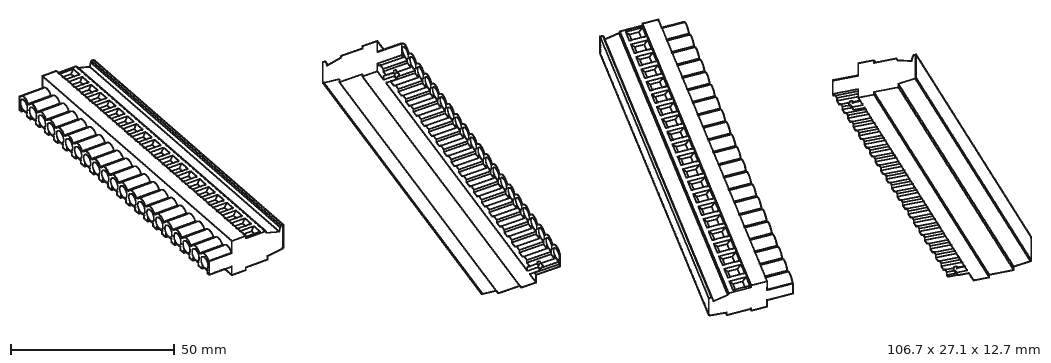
import cadquery as cq

length = 106.7
depth = 27.1
height = 12.7
pole_count = 21

plate_overhang = 0.05
plate_thickness = 0.3
left_end = -length / 2
right_end = length / 2 - plate_overhang
housing_length = right_end - left_end
pitch = housing_length / pole_count
pole_positions = [left_end + (i + 0.5) * pitch for i in range(pole_count)]

collar_front = 8.3
collar_back = 13.4
collar_step = 1.0
body_bottom = collar_step
body_top = height - collar_step
bottom_step_y = 21.3
bottom_step_z = 2.2
back_bottom_z = 3.0
plate_bottom_z = 3.2
lip_top_y = 26.2
lip_chamfer_y = 25.9
lip_chamfer_z = 11.2
channel_y = 25.6
channel_z = 9.7
slope_end_y = 21.0
slope_end_z = 11.0
slope_step_y = 20.7

nose_bottom = 3.2
nose_shoulder = 8.2
socket_z = 6.3
barrel_top_z = 9.5
barrel_gap = 0.5
socket_mouth_diameter = 4.0
socket_floor_diameter = 1.6
socket_depth = 3.2

groove_width = 2.9
groove_height = 1.1

pocket_depth = 1.3
pocket_width = 3.5
pocket_floor_width = 2.8
pocket_front = 13.7
pocket_back = 19.1
pocket_floor_front = 14.9
pocket_floor_back = 18.0

hook_width = 1.6
hook_thickness = 1.6
hook_root_overlap = 1.1
hook_heel_y = 4.7
hook_heel_z = 0.4
hook_tip_y = 3.7
hook_tip_z = 1.5
hook_top_y = 4.2
hook_top_z = 2.3
hook_barb_y = 4.9


def extrude_along_x(points, start_x, width):
    """Prism with a (Y, Z) outline, running in +X from start_x."""
    plane = cq.Workplane("YZ", origin=(start_x, 0, 0))
    return plane.polyline(points).close().extrude(width)


def make_housing():
    plate_front = depth - plate_thickness
    outline = [
        (collar_front, 0),
        (collar_back, 0),
        (collar_back, body_bottom),
        (bottom_step_y, body_bottom),
        (bottom_step_y, bottom_step_z),
        (plate_front, back_bottom_z),
        (plate_front, body_top),
        (lip_top_y, body_top),
        (lip_chamfer_y, lip_chamfer_z),
        (channel_y, channel_z),
        (slope_end_y, slope_end_z),
        (slope_step_y, body_top),
        (collar_back, body_top),
        (collar_back, height),
        (collar_front, height),
    ]
    return extrude_along_x(outline, left_end, housing_length)


def make_back_plate():
    plate_height = body_top - plate_bottom_z
    corner = (left_end, depth - plate_thickness, plate_bottom_z)
    return cq.Workplane("XY", origin=corner).box(
        length, plate_thickness, plate_height, centered=False
    )


def make_nose():
    """Front bar topped by rounded barrels with narrow flats between them."""
    half_width = (pitch - barrel_gap) / 2
    outline = cq.Workplane("XZ").moveTo(left_end, nose_bottom).lineTo(left_end, nose_shoulder)
    for x in pole_positions:
        outline = (
            outline.lineTo(x - half_width, nose_shoulder)
            .threePointArc((x, barrel_top_z), (x + half_width, nose_shoulder))
        )
    outline = outline.lineTo(right_end, nose_shoulder).lineTo(right_end, nose_bottom).close()
    return outline.extrude(-collar_front)


def make_socket(x):
    """Conical entry that narrows to a flat floor."""
    cone = cq.Solid.makeCone(
        socket_mouth_diameter / 2,
        socket_floor_diameter / 2,
        socket_depth,
        pnt=cq.Vector(x, 0, socket_z),
        dir=cq.Vector(0, 1, 0),
    )
    return cq.Workplane(obj=cone)


def make_groove(x):
    """Square groove along the underside of the nose, stopping at the collar."""
    corner = (x - groove_width / 2, 0, nose_bottom)
    return cq.Workplane("XY", origin=corner).box(
        groove_width, collar_front, groove_height, centered=False
    )


def make_pocket(x):
    """Rectangular funnel lofted from its floor up to the body top."""
    floor_center = (pocket_floor_front + pocket_floor_back) / 2
    mouth_center = (pocket_front + pocket_back) / 2
    return (
        cq.Workplane("XY", origin=(x, floor_center, body_top - pocket_depth))
        .rect(pocket_floor_width, pocket_floor_back - pocket_floor_front)
        .workplane(offset=pocket_depth)
        .center(0, mouth_center - floor_center)
        .rect(pocket_width, pocket_back - pocket_front)
        .loft(ruled=True)
    )


def make_hook(x):
    root_y = collar_front + hook_root_overlap
    outline = [
        (root_y, 0),
        (hook_heel_y, 0),
        (hook_heel_y, hook_heel_z),
        (hook_tip_y, hook_tip_z),
        (hook_top_y, hook_top_z),
        (hook_barb_y, hook_top_z),
        (hook_barb_y, hook_thickness),
        (root_y, hook_thickness),
    ]
    return extrude_along_x(outline, x - hook_width / 2, hook_width)


result = make_housing().union(make_back_plate()).union(make_nose())
for hook_x in (left_end + pitch, right_end - pitch):
    result = result.union(make_hook(hook_x))
for pole_x in pole_positions:
    result = result.cut(make_socket(pole_x))
    result = result.cut(make_groove(pole_x))
    result = result.cut(make_pocket(pole_x))